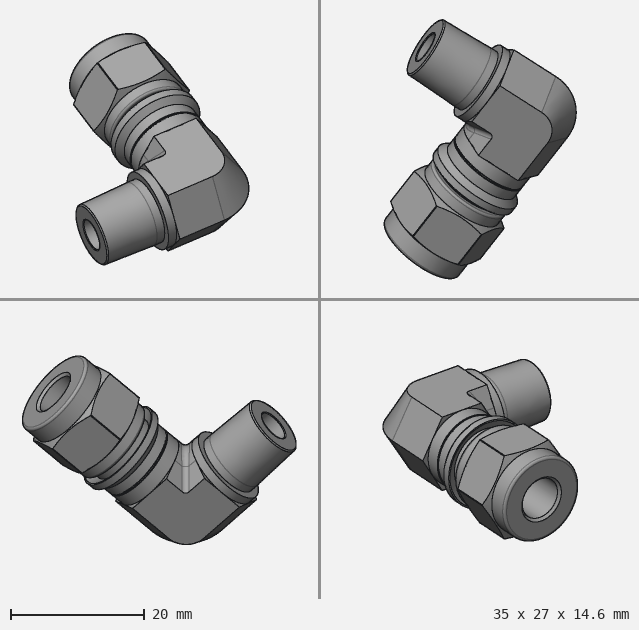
import cadquery as cq
import math

LENGTH = 34.97
WIDTH = 27.0

BODY_FLATS = 12.6
BODY_RADIUS = BODY_FLATS / 2
BODY_CORNER = BODY_RADIUS / math.cos(math.pi / 6)
BODY_ARM = 7.65
INNER_FILLET = 0.85
SEAM_MARGIN = 0.35
ELBOW_X = LENGTH - BODY_CORNER

NUT_FLATS = 14.3
NUT_CORNER_DIAMETER = 16.45
NUT_FRONT_DIAMETER = 13.9
NUT_REAR_DIAMETER = 13.6
NUT_FRONT_LENGTH = 3.15
NUT_HEX_END = 10.63
NUT_END = 12.65
NUT_CONE_SLOPE = 0.5
NUT_FACE_ROUND = 0.42
NUT_REAR_ROUND = 0.4

SHOULDER_DIAMETER = 12.55
SHOULDER_RADIUS = SHOULDER_DIAMETER / 2
NECK_DIAMETER = 11.12
COLLAR_DIAMETER = 14.6
COLLAR_START = 13.5
CONE_START = 14.72
COLLAR_DISH_DIAMETER = 14.13
COLLAR_DISH_DEPTH = 0.9
CONE_END = 15.7
GROOVE_START = 17.45
GROOVE_WIDTH = 0.28
GROOVE_DEPTH = 0.2

BRANCH_END = WIDTH - NUT_CORNER_DIAMETER / 2
BRANCH_FLANGE_END = 9.05
BRANCH_DIAMETER = 10.28
BRANCH_TAPER_START = 10.4
BRANCH_TIP_DIAMETER = 9.8
BRANCH_TIP_CHAMFER = 0.2

BORE_DIAMETER = 4.83
BORE_CHAMFER = 0.15
SOCKET_DIAMETER = 6.55
SOCKET_DEPTH = 15.25
SOCKET_CHAMFER = 0.42


def turned_x(profile):
    """Revolve (x, radius) points about the run axis."""
    return cq.Workplane("XY").polyline(profile).close().revolve(360, (0, 0, 0), (1, 0, 0))


def turned_branch(profile):
    """Revolve (distance from elbow, radius) points about the branch axis."""
    points = [(ELBOW_X + radius, -distance) for distance, radius in profile]
    sketch = cq.Workplane("XY").polyline(points).close()
    return sketch.revolve(360, (ELBOW_X, 0, 0), (ELBOW_X, 1, 0))


def make_nut():
    front_radius = NUT_FRONT_DIAMETER / 2
    rear_radius = NUT_REAR_DIAMETER / 2
    corner_radius = NUT_CORNER_DIAMETER / 2
    front_cone = (corner_radius - front_radius) * NUT_CONE_SLOPE
    rear_cone = (corner_radius - rear_radius) * NUT_CONE_SLOPE

    front = cq.Workplane("YZ").circle(front_radius).extrude(NUT_FRONT_LENGTH)
    front = front.faces("<X").edges().fillet(NUT_FACE_ROUND)
    rear = cq.Workplane("YZ", origin=(NUT_HEX_END, 0, 0)).circle(rear_radius)
    rear = rear.extrude(NUT_END - NUT_HEX_END).faces(">X").edges().fillet(NUT_REAR_ROUND)

    hexagon = cq.Workplane("YZ", origin=(NUT_FRONT_LENGTH, 0, 0))
    hexagon = hexagon.polygon(6, NUT_FLATS / math.cos(math.pi / 6))
    hexagon = hexagon.extrude(NUT_HEX_END - NUT_FRONT_LENGTH)
    envelope = turned_x([
        (NUT_FRONT_LENGTH, 0),
        (NUT_FRONT_LENGTH, front_radius),
        (NUT_FRONT_LENGTH + front_cone, corner_radius),
        (NUT_HEX_END - rear_cone, corner_radius),
        (NUT_HEX_END, rear_radius),
        (NUT_HEX_END, 0),
    ])
    return front.union(hexagon.intersect(envelope)).union(rear)


def make_run():
    neck_radius = NECK_DIAMETER / 2
    collar_radius = COLLAR_DIAMETER / 2
    groove_end = GROOVE_START + GROOVE_WIDTH
    groove_radius = SHOULDER_RADIUS - GROOVE_DEPTH
    body_start = ELBOW_X - BODY_ARM
    return turned_x([
        (NUT_END, 0),
        (NUT_END, neck_radius),
        (COLLAR_START + COLLAR_DISH_DEPTH, neck_radius),
        (COLLAR_START, COLLAR_DISH_DIAMETER / 2),
        (COLLAR_START, collar_radius),
        (CONE_START, collar_radius),
        (CONE_END, SHOULDER_RADIUS),
        (GROOVE_START, SHOULDER_RADIUS),
        (GROOVE_START, groove_radius),
        (groove_end, groove_radius),
        (groove_end, SHOULDER_RADIUS),
        (body_start, SHOULDER_RADIUS),
        (body_start, 0),
    ])


def body_arm(plane):
    """Hexagonal arm ending at the elbow centre, with its inner corner rounded."""
    half_flat = BODY_CORNER / 2
    tangent_across = BODY_RADIUS * math.cos(math.pi / 6)
    tangent_z = BODY_RADIUS / 2
    return (
        cq.Workplane(plane, origin=(ELBOW_X, 0, 0))
        .moveTo(half_flat, BODY_RADIUS)
        .lineTo(BODY_CORNER, 0)
        .lineTo(half_flat, -BODY_RADIUS)
        .lineTo(-half_flat, -BODY_RADIUS)
        .lineTo(-tangent_across, -tangent_z)
        .threePointArc((-BODY_RADIUS, 0), (-tangent_across, tangent_z))
        .lineTo(-half_flat, BODY_RADIUS)
        .close()
    )


def make_body():
    run_arm = body_arm("YZ").extrude(-BODY_ARM)
    branch_arm = body_arm("XZ").extrude(BODY_ARM)
    bend = (
        cq.Workplane("XZ", origin=(ELBOW_X, 0, 0))
        .polyline([
            (0, -BODY_RADIUS),
            (BODY_CORNER / 2, -BODY_RADIUS),
            (BODY_CORNER, 0),
            (BODY_CORNER / 2, BODY_RADIUS),
            (0, BODY_RADIUS),
        ])
        .close()
        .revolve(90, (0, 0, 0), (0, 1, 0))
    )
    body = run_arm.union(branch_arm).union(bend)
    seam = cq.selectors.BoxSelector(
        (ELBOW_X - BODY_CORNER, -BODY_CORNER, -BODY_RADIUS + SEAM_MARGIN),
        (ELBOW_X - BODY_CORNER / 2, -BODY_CORNER / 2, BODY_RADIUS - SEAM_MARGIN),
    )
    return body.edges(seam).fillet(INNER_FILLET)


def make_branch():
    tip_radius = BRANCH_TIP_DIAMETER / 2
    return turned_branch([
        (BODY_ARM, 0),
        (BODY_ARM, SHOULDER_RADIUS),
        (BRANCH_FLANGE_END, SHOULDER_RADIUS),
        (BRANCH_FLANGE_END, BRANCH_DIAMETER / 2),
        (BRANCH_TAPER_START, BRANCH_DIAMETER / 2),
        (BRANCH_END - BRANCH_TIP_CHAMFER, tip_radius),
        (BRANCH_END, tip_radius - BRANCH_TIP_CHAMFER),
        (BRANCH_END, 0),
    ])


def make_bores():
    bore_radius = BORE_DIAMETER / 2
    socket_radius = SOCKET_DIAMETER / 2
    run_bore = turned_x([
        (0, 0),
        (0, socket_radius + SOCKET_CHAMFER),
        (SOCKET_CHAMFER, socket_radius),
        (SOCKET_DEPTH, socket_radius),
        (SOCKET_DEPTH, bore_radius),
        (ELBOW_X, bore_radius),
        (ELBOW_X, 0),
    ])
    branch_bore = turned_branch([
        (0, 0),
        (0, bore_radius),
        (BRANCH_END - BORE_CHAMFER, bore_radius),
        (BRANCH_END, bore_radius + BORE_CHAMFER),
        (BRANCH_END, 0),
    ])
    turn = cq.Workplane("XY").sphere(bore_radius).translate((ELBOW_X, 0, 0))
    return run_bore.union(branch_bore).union(turn)


solid = make_nut().union(make_run()).union(make_body()).union(make_branch())
result = solid.cut(make_bores())